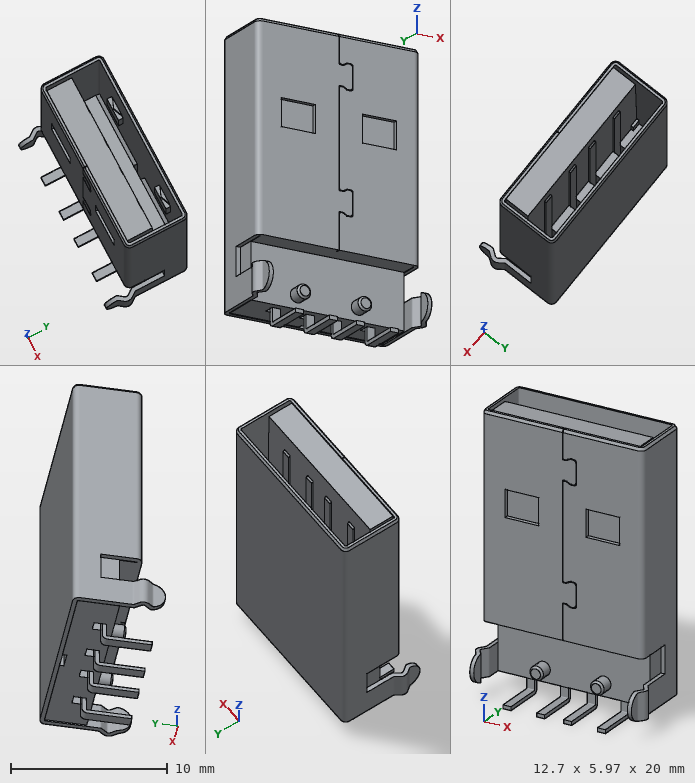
import cadquery as cq
import math


SHELL_WIDTH = 12.0
SHELL_DEPTH = 4.5
SHELL_LENGTH = 18.8
WALL = 0.3
SHELL_CORNER = 0.4
SHELL_INNER_CORNER = SHELL_CORNER - WALL
MOUTH_BEVEL_IN = 0.12
MOUTH_BEVEL_HEIGHT = 0.2
FRONT_WALL_BOTTOM = 4.05
LEG_HEIGHT = 2.02
SIDE_NOTCH_BACK = 0.48

HALF_WIDTH = SHELL_WIDTH / 2
FRONT_Y = -SHELL_DEPTH / 2
INNER_HALF_WIDTH = HALF_WIDTH - WALL
INNER_FRONT_Y = FRONT_Y + WALL
INNER_BACK_Y = -INNER_FRONT_Y

WINDOW_X = 3.0
WINDOW_WIDTH = 2.5
WINDOW_HEIGHT = 1.97
WINDOW_Z = 12.65

SEAM_GAP = 0.05
SEAM_LOCK_Z = (7.39, 15.98)
LOCK_REACH = 1.0
LOCK_NECK_X = 0.3
LOCK_NECK_HALF = 0.71
LOCK_BULB_X = 0.6
LOCK_BULB_HALF = 0.87
LOCK_ROUND = 0.2

LEG_TIP_Y = -3.72
LEG_TIP_RADIUS = 0.499 * LEG_HEIGHT
LEG_START_Y = -1.5
LEG_CREST_Y = -2.28
LEG_CREST_RADIUS = 0.5
LEG_CREST_REACH = 0.35
LEG_SLOPE = math.radians(36.5)
LEG_BEND_RADIUS = 0.2

BODY_WIDTH = 11.3
BODY_BOTTOM = 0.06
BODY_FRONT_Y = -0.8
FLOOR_Z = 6.8
FLOOR_BEVEL = 0.29
VENT_WIDTH = 1.0
TONGUE_TOP_WIDTH = 11.0
TONGUE_BACK_Y = -0.15
TONGUE_TOP = 18.7
RIB_INNER_X = 5.05
RIB_BACK_Y = 0.04
RIB_HEIGHT = 1.0
PEG_X = 2.25
PEG_Z = 1.0
PEG_DIAMETER = 1.0
PEG_LENGTH = 1.0
PEG_BEVEL = 0.14

CONTACT_XS = (-3.5, -1.0, 1.0, 3.5)
CONTACT_WIDTH = 0.6
CONTACT_THICKNESS = 0.28
CONTACT_BACK_Y = -0.03
CONTACT_TOP = 17.0
CONTACT_BOTTOM = -1.22
CONTACT_TIP_Y = -3.27
CONTACT_INNER_BEND = 0.05
CONTACT_HOLE_BACK_Y = 0.51

BUMP_X = 3.24
BUMP_WIDTH = 1.57
BUMP_DEPTH = 0.33
BUMP_HEIGHT = WINDOW_HEIGHT
RIDGE_WIDTH = 1.3
RIDGE_DEPTH = 0.27
RIDGE_HEIGHT = 0.3


def block(x0, x1, y0, y1, z0, z1):
    """Box between two opposite corners."""
    return cq.Workplane("XY").box(x1 - x0, y1 - y0, z1 - z0, centered=False).translate((x0, y0, z0))


def wide_block(width, y0, y1, z0, z1, x=0.0):
    """Box of the given width centred on x."""
    return block(x - width / 2, x + width / 2, y0, y1, z0, z1)


def seam_left_side(growth):
    """Everything left of the seam, with its two locks, enlarged by growth."""
    side = wide_block(SHELL_WIDTH, FRONT_Y, INNER_FRONT_Y, FRONT_WALL_BOTTOM, SHELL_LENGTH)
    side = side.translate((growth - HALF_WIDTH, 0, 0))
    neck_half = LOCK_NECK_HALF + growth
    bulb_half = LOCK_BULB_HALF + growth
    reach = LOCK_REACH + growth
    outline = [
        (-LOCK_REACH, -neck_half),
        (LOCK_NECK_X, -neck_half),
        (LOCK_BULB_X, -bulb_half),
        (reach, -bulb_half),
        (reach, bulb_half),
        (LOCK_BULB_X, bulb_half),
        (LOCK_NECK_X, neck_half),
        (-LOCK_REACH, neck_half),
    ]
    for z in SEAM_LOCK_Z:
        plane = cq.Workplane("XZ", origin=(0, INNER_FRONT_Y, z))
        lock = plane.polyline(outline).close().extrude(WALL)
        lock = lock.edges("|Y and >X").fillet(LOCK_ROUND)
        side = side.union(lock)
    lock_root = cq.selectors.BoxSelector(
        (growth - SEAM_GAP / 2, FRONT_Y - WALL, FRONT_WALL_BOTTOM + WALL),
        (growth + SEAM_GAP / 2, INNER_BACK_Y, SHELL_LENGTH - WALL),
    )
    return side.edges("|Y").edges(lock_root).fillet(LOCK_ROUND / 2)


def make_shell():
    outside = wide_block(SHELL_WIDTH, FRONT_Y, -FRONT_Y, 0, SHELL_LENGTH)
    outside = outside.edges("|Z").fillet(SHELL_CORNER)
    outside = outside.faces(">Z").chamfer(MOUTH_BEVEL_HEIGHT, MOUTH_BEVEL_IN)
    inside = wide_block(2 * INNER_HALF_WIDTH, INNER_FRONT_Y, INNER_BACK_Y, 0, SHELL_LENGTH)
    shell = outside.cut(inside.edges("|Z").fillet(SHELL_INNER_CORNER))
    shell = shell.cut(wide_block(SHELL_WIDTH, FRONT_Y, SIDE_NOTCH_BACK, LEG_HEIGHT, FRONT_WALL_BOTTOM))
    shell = shell.cut(wide_block(SHELL_WIDTH, FRONT_Y, LEG_START_Y, 0, LEG_HEIGHT))
    window_bottom = WINDOW_Z - WINDOW_HEIGHT / 2
    for x in (-WINDOW_X, WINDOW_X):
        shell = shell.cut(
            wide_block(WINDOW_WIDTH, FRONT_Y, INNER_FRONT_Y, window_bottom, window_bottom + WINDOW_HEIGHT, x)
        )
    return shell.cut(seam_left_side(SEAM_GAP).cut(seam_left_side(0)))


def crest_slope(radius, base_x):
    """Sloped stretch beside the crest, on one face of the leg.

    Returns the X where it leaves the crest arc, and its distances along Y from the crest
    there and where it meets the flat at base_x.
    """
    center_x = HALF_WIDTH + LEG_CREST_REACH - LEG_CREST_RADIUS
    tangent_x = center_x + radius * math.cos(LEG_SLOPE)
    tangent_rise = radius * math.sin(LEG_SLOPE)
    foot_rise = tangent_rise + (tangent_x - base_x) / math.tan(LEG_SLOPE)
    return tangent_x, tangent_rise, foot_rise


def make_leg():
    """Right-hand board leg: a strip jogged outwards, with a rounded tip."""
    crest_x = HALF_WIDTH + LEG_CREST_REACH
    outer_x, outer_rise, outer_foot = crest_slope(LEG_CREST_RADIUS, HALF_WIDTH)
    inner_x, inner_rise, inner_foot = crest_slope(LEG_CREST_RADIUS - WALL, INNER_HALF_WIDTH)
    leg = (
        cq.Workplane("XY")
        .moveTo(HALF_WIDTH, LEG_START_Y)
        .lineTo(HALF_WIDTH, LEG_CREST_Y + outer_foot)
        .lineTo(outer_x, LEG_CREST_Y + outer_rise)
        .threePointArc((crest_x, LEG_CREST_Y), (outer_x, LEG_CREST_Y - outer_rise))
        .lineTo(HALF_WIDTH, LEG_CREST_Y - outer_foot)
        .lineTo(HALF_WIDTH, LEG_TIP_Y)
        .lineTo(INNER_HALF_WIDTH, LEG_TIP_Y)
        .lineTo(INNER_HALF_WIDTH, LEG_CREST_Y - inner_foot)
        .lineTo(inner_x, LEG_CREST_Y - inner_rise)
        .threePointArc((crest_x - WALL, LEG_CREST_Y), (inner_x, LEG_CREST_Y + inner_rise))
        .lineTo(INNER_HALF_WIDTH, LEG_CREST_Y + inner_foot)
        .lineTo(INNER_HALF_WIDTH, LEG_START_Y)
        .close()
        .extrude(LEG_HEIGHT)
    )
    for x, foot in ((HALF_WIDTH, outer_foot), (INNER_HALF_WIDTH, inner_foot)):
        for y in (LEG_CREST_Y - foot, LEG_CREST_Y + foot):
            bend = cq.selectors.NearestToPointSelector((x, y, LEG_HEIGHT / 2))
            leg = leg.edges("|Z").edges(bend).fillet(LEG_BEND_RADIUS)
    tip = wide_block(SHELL_WIDTH, LEG_TIP_Y, -FRONT_Y, 0, LEG_HEIGHT, HALF_WIDTH)
    tip = tip.edges("|X and <Y").fillet(LEG_TIP_RADIUS)
    return leg.intersect(tip)


def make_tongue():
    """Front part of the body: fills the shell below the floor and narrows from there upwards."""
    outline = [
        (-BODY_WIDTH / 2, FRONT_WALL_BOTTOM),
        (BODY_WIDTH / 2, FRONT_WALL_BOTTOM),
        (BODY_WIDTH / 2, FLOOR_Z),
        (TONGUE_TOP_WIDTH / 2, TONGUE_TOP),
        (-TONGUE_TOP_WIDTH / 2, TONGUE_TOP),
        (-BODY_WIDTH / 2, FLOOR_Z),
    ]
    plane = cq.Workplane("XZ", origin=(0, TONGUE_BACK_Y, 0))
    return plane.polyline(outline).close().extrude(TONGUE_BACK_Y - INNER_FRONT_Y)


def make_body():
    body = wide_block(BODY_WIDTH, BODY_FRONT_Y, INNER_BACK_Y, BODY_BOTTOM, FLOOR_Z)
    body = body.edges(">Z and >Y").chamfer(FLOOR_BEVEL)
    vent_front = INNER_BACK_Y - FLOOR_BEVEL
    body = body.cut(wide_block(VENT_WIDTH, vent_front, INNER_BACK_Y, BODY_BOTTOM, FLOOR_Z))
    body = body.union(make_tongue())
    rib_width = BODY_WIDTH / 2 - RIB_INNER_X
    rib_x = RIB_INNER_X + rib_width / 2
    for x in (-rib_x, rib_x):
        body = body.union(
            wide_block(rib_width, TONGUE_BACK_Y, RIB_BACK_Y, FLOOR_Z, FLOOR_Z + RIB_HEIGHT, x)
        )
    for x in CONTACT_XS:
        body = body.cut(
            wide_block(CONTACT_WIDTH, CONTACT_BACK_Y, CONTACT_HOLE_BACK_Y, BODY_BOTTOM, FLOOR_Z, x)
        )
    for x in (-PEG_X, PEG_X):
        peg = cq.Workplane("XZ", origin=(x, BODY_FRONT_Y, PEG_Z)).circle(PEG_DIAMETER / 2)
        body = body.union(peg.extrude(PEG_LENGTH).faces("<Y").chamfer(PEG_BEVEL))
    return body


def make_contact(x):
    """Contact running up the back of the tongue and bent forward below the body."""
    front_y = CONTACT_BACK_Y - CONTACT_THICKNESS
    foot_top = CONTACT_BOTTOM + CONTACT_THICKNESS
    contact = wide_block(CONTACT_WIDTH, front_y, CONTACT_BACK_Y, CONTACT_BOTTOM, CONTACT_TOP, x)
    contact = contact.union(
        wide_block(CONTACT_WIDTH, CONTACT_TIP_Y, CONTACT_BACK_Y, CONTACT_BOTTOM, foot_top, x)
    )
    contact = contact.edges("|X and >Y and <Z").fillet(CONTACT_INNER_BEND + CONTACT_THICKNESS)
    inner_corner = cq.selectors.NearestToPointSelector((x, front_y, foot_top))
    contact = contact.edges("|X").edges(inner_corner).fillet(CONTACT_INNER_BEND)
    return contact.edges("|X and >Y and >Z").chamfer(CONTACT_BACK_Y - TONGUE_BACK_Y)


def make_bump(x):
    """Retention bump on the back wall, topped by a V-shaped ridge."""
    bottom = WINDOW_Z - BUMP_HEIGHT / 2
    top = bottom + BUMP_HEIGHT
    bump = wide_block(BUMP_WIDTH, INNER_BACK_Y - BUMP_DEPTH, INNER_BACK_Y, bottom, top, x)
    ridge = cq.Workplane("XY", origin=(x, INNER_BACK_Y, top)).polyline(
        [(-RIDGE_WIDTH / 2, 0), (0, -RIDGE_DEPTH), (RIDGE_WIDTH / 2, 0)]
    )
    return bump.union(ridge.close().extrude(RIDGE_HEIGHT))


leg = make_leg()
result = make_shell().union(leg).union(leg.mirror("YZ")).union(make_body())
for contact_x in CONTACT_XS:
    result = result.union(make_contact(contact_x))
for bump_x in (-BUMP_X, BUMP_X):
    result = result.union(make_bump(bump_x))